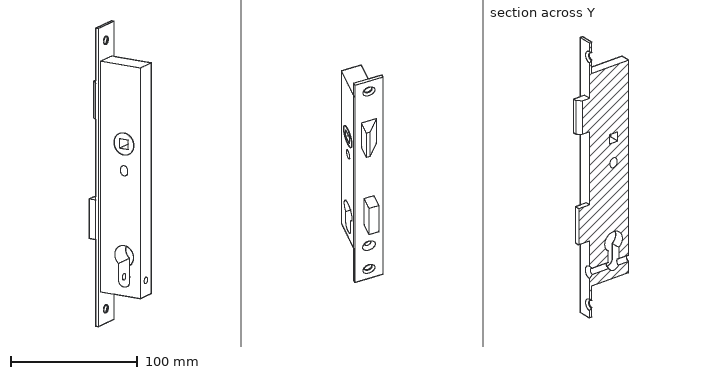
import cadquery as cq

plate_height = 245.0
plate_width = 24.0
plate_thickness = 2.5

case_depth = 36.5
case_width = 17.0
case_height = 189.6
case_back = plate_thickness + case_depth

latch_throw = 11.0
latch_width = 13.0
latch_height = 30.1
latch_nose_width = 3.2
latch_z = 58.3

bolt_throw = 10.8
bolt_width = 8.3
bolt_height = 32.5
bolt_z = -37.7

backset_x = case_back - 15.0
hub_z = 30.1
hub_diameter = 18.1
hub_projection = 0.5
spindle_side = 7.8
slot_z = 8.0
slot_width = 6.4
slot_height = 8.3
cylinder_z = -62.0
cylinder_diameter = 17.2
cylinder_slot_width = 10.3
cylinder_bottom_z = -87.5

upper_fixing_z = 109.8
lower_fixing_z = -110.7
fixing_diameter = 6.5
fixing_head_diameter = 10.0
cylinder_screw_z = -81.8
cylinder_screw_diameter = 5.1
cylinder_screw_head_diameter = 10.8
countersink_angle = 90


def box_between(x_start, x_end, width, height, z=0):
    """Box centred on Y, spanning two X positions, at a given mid height."""
    length = x_end - x_start
    return cq.Workplane("XY").box(length, width, height).translate((x_start + length / 2, 0, z))


def side_plane(z):
    """Sketch plane on the backset axis, facing along Y."""
    return cq.Workplane("XZ", origin=(backset_x, 0, z))


def make_latch():
    half_width = latch_width / 2
    nose_y = half_width - latch_nose_width
    return (
        cq.Workplane("XY", origin=(0, 0, latch_z - latch_height / 2))
        .polyline([(0, -half_width), (-latch_throw, nose_y), (-latch_throw, half_width), (0, half_width)])
        .close()
        .extrude(latch_height)
    )


def make_cylinder_hole():
    """Round bore with a narrower, round-ended slot below it."""
    round_bore = side_plane(cylinder_z).circle(cylinder_diameter / 2).extrude(case_width, both=True)
    slot_end_z = cylinder_bottom_z + cylinder_slot_width / 2
    slot_end = side_plane(slot_end_z).circle(cylinder_slot_width / 2).extrude(case_width, both=True)
    slot_length = cylinder_z - slot_end_z
    slot = (
        side_plane(slot_end_z + slot_length / 2)
        .rect(cylinder_slot_width, slot_length)
        .extrude(case_width, both=True)
    )
    return round_bore.union(slot).union(slot_end)


def drill_screw(body, z, diameter, head_diameter, depth=None):
    """Countersunk hole drilled from the faceplate front; all the way through by default."""
    face = cq.Workplane("YZ", origin=(0, 0, z)).transformed(rotate=(0, 180, 0))
    return body.copyWorkplane(face).cskHole(diameter, head_diameter, countersink_angle, depth)


body = box_between(0, plate_thickness, plate_width, plate_height)
body = body.union(box_between(plate_thickness, case_back, case_width, case_height))
hub_length = case_width + 2 * hub_projection
body = body.union(side_plane(hub_z).circle(hub_diameter / 2).extrude(hub_length / 2, both=True))
body = body.union(make_latch())
body = body.union(box_between(-bolt_throw, 0, bolt_width, bolt_height, bolt_z))

body = body.cut(side_plane(hub_z).rect(spindle_side, spindle_side).extrude(hub_length, both=True))
body = body.cut(side_plane(slot_z).slot2D(slot_height, slot_width, 90).extrude(case_width, both=True))
body = body.cut(make_cylinder_hole())

for z in (upper_fixing_z, lower_fixing_z):
    body = drill_screw(body, z, fixing_diameter, fixing_head_diameter)
body = drill_screw(body, cylinder_screw_z, cylinder_screw_diameter, cylinder_screw_head_diameter)

result = body